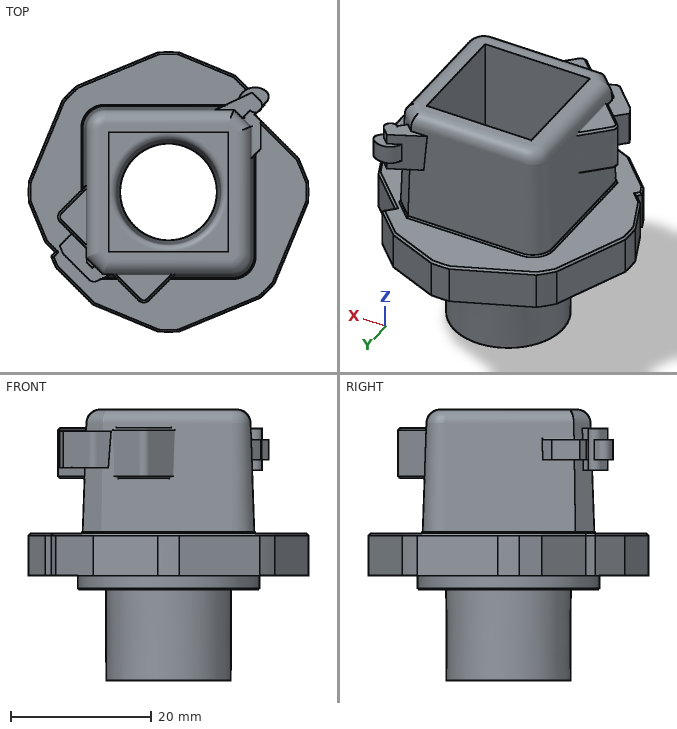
import cadquery as cq
import math

collar_bottom = 13.0
flange_bottom = 15.0
flange_top = 21.0
total_height = 38.7

spigot_top_radius = 8.95
spigot_bottom_radius = 8.9
collar_radius = 13.0
collar_chamfer = 0.2
bore_bottom_radius = 6.88
bore_top_radius = 7.5
bore_mouth_round = 0.95

flange_radius = 20.0
flange_apothem = 19.0
octagon_turn = 22.5
flange_chamfer = 0.3
plain_flat = flange_apothem
notch_flat = 17.5
notch_start = 5.35
lug_flat = 18.48
lug_step_flat = 16.5
lug_step_start = 0.9

socket_half = 12.28
socket_draft = 2.0
socket_corner_radius = 3.2
socket_corner_flat = 15.45
socket_top_round = 2.0
socket_foot = 0.2
socket_foot_height = 0.28
pocket_half = 8.55
pocket_depth = 16.4

wall_zone = 0.88
seam_margin = 0.2

lug_corner_angle = -45.0
hook_corner_angle = 135.0
barb_angle = 70.0
barb_root = 12.4

block_bottom, block_top = 28.87, 36.07
block_half_width = 8.95
block_root = 4.0
block_front = 13.95
block_corner_round = 1.0
block_chamfer = 0.3
block_root_round = 0.15

hook_bottom, hook_top = 30.4, 35.6
hook_root = 13.2
hook_front = 16.88
hook_tip = -1.5
hook_tip_round = 1.0
hook_end = 5.55
hook_end_bevel = 1.15
hook_end_bevel_angle = 22.5
relief_front = 15.35
relief_root = 14.4
relief_side = 11.65
relief_depth = 0.5

lug_bottom, lug_top = 30.0, 36.0
lug_front = 18.48
lug_tip = -1.6
lug_nose_radius = 1.0

peg_bottom, peg_top = 31.5, 34.4
peg_radius = 2.48
peg_along = -0.08
peg_out = 17.55
peg_end = 0.8
peg_end_round = 1.0

rest_root = 11.2
rest_front = 16.5
rest_length = 4.95
rest_side = 13.15
rest_root_round = 0.25


def at_corner(shape, angle):
    """Turn a shape from corner axes (X along, Y out) onto its corner."""
    return shape.rotate((0, 0, 0), (0, 0, 1), angle)


def prism(points, bottom, top):
    return cq.Workplane("XY").workplane(offset=bottom).polyline(points).close().extrude(top - bottom)


def outer_cut(start, end, flat):
    """Block, in corner axes, that trims the flange back to a flat."""
    reach = 2 * flange_radius
    return prism([(start, flat), (end, flat), (end, reach), (start, reach)], flange_bottom, flange_top)


def edge_nearest(x, y, z):
    return cq.selectors.NearestToPointSelector((x, y, z))


def barb_root_along(tip, front, root):
    """Where the sloping side of a barb meets its root line."""
    return tip - (front - root) / math.tan(math.radians(barb_angle))


def make_flange():
    height = flange_top - flange_bottom
    base = cq.Workplane("XY").workplane(offset=flange_bottom)
    octagon = base.polygon(8, 2 * flange_apothem, circumscribed=True).extrude(height)
    flange = octagon.rotate((0, 0, 0), (0, 0, 1), octagon_turn)
    flange = flange.intersect(base.circle(flange_radius).extrude(height))
    side = flange_radius
    hook_cuts = [outer_cut(-side, side, plain_flat), outer_cut(notch_start, side, notch_flat)]
    lug_cuts = [outer_cut(-side, side, lug_flat), outer_cut(lug_step_start, side, lug_step_flat)]
    for cut in hook_cuts:
        flange = flange.cut(at_corner(cut, hook_corner_angle))
    for cut in lug_cuts:
        flange = flange.cut(at_corner(cut, lug_corner_angle))
    return flange.faces(">Z").edges().chamfer(flange_chamfer)


def make_spigot():
    profile = [
        (0, 0),
        (spigot_bottom_radius, 0),
        (spigot_top_radius, flange_bottom),
        (0, flange_bottom),
    ]
    spigot = cq.Workplane("XZ").polyline(profile).close().revolve(360, (0, 0), (0, 1))
    collar = (
        cq.Workplane("XY")
        .workplane(offset=collar_bottom)
        .circle(collar_radius)
        .extrude(flange_bottom - collar_bottom)
        .faces("<Z")
        .edges()
        .chamfer(collar_chamfer)
    )
    return spigot.union(collar)


def socket_outline(grow):
    """Square with two round corners and two flat ones, enlarged by grow on every side."""
    side = socket_half + grow
    radius = socket_corner_radius + grow
    arc_start = side - radius
    arc_mid = arc_start + radius * math.sqrt(0.5)
    flat_start = (socket_corner_flat + grow) * math.sqrt(2) - side
    return (
        cq.Workplane("XY")
        .workplane(offset=flange_top)
        .moveTo(-flat_start, -side)
        .lineTo(arc_start, -side)
        .threePointArc((arc_mid, -arc_mid), (side, -arc_start))
        .lineTo(side, flat_start)
        .lineTo(flat_start, side)
        .lineTo(-arc_start, side)
        .threePointArc((-arc_mid, arc_mid), (-side, arc_start))
        .lineTo(-side, -flat_start)
        .close()
    )


def make_socket():
    socket = socket_outline(0).extrude(total_height - flange_top, taper=socket_draft)
    socket = socket.faces(">Z").edges().fillet(socket_top_round)
    foot_angle = math.degrees(math.atan2(socket_foot, socket_foot_height))
    foot = socket_outline(socket_foot).extrude(socket_foot_height, taper=foot_angle)
    return socket.union(foot)


def make_block():
    """Bar across the hook corner whose ends stand out of the two socket walls."""
    width = 2 * block_half_width
    block = (
        cq.Workplane("XY")
        .box(width, block_front - block_root, block_top - block_bottom, centered=(True, False, False))
        .translate((0, block_root, block_bottom))
        .edges("|Z and >Y")
        .fillet(block_corner_round)
    )
    return block.faces("<Z or >Z").edges("not <Y").chamfer(block_chamfer)


def make_hook():
    bevel_rise = hook_end_bevel * math.tan(math.radians(hook_end_bevel_angle))
    outline = [
        (barb_root_along(hook_tip, hook_front, hook_root), hook_root),
        (hook_tip, hook_front),
        (hook_end - hook_end_bevel, hook_front),
        (hook_end, hook_front - bevel_rise),
        (hook_end, hook_root),
    ]
    hook = prism(outline, hook_bottom, hook_top)
    tip_edge = edge_nearest(hook_tip, hook_front, (hook_bottom + hook_top) / 2)
    return hook.edges(tip_edge).fillet(hook_tip_round)


def make_relief():
    """Small recess in the hook's top face, between its corner and the socket."""
    side_sum = relief_side * math.sqrt(2)
    inner_along = side_sum - relief_root
    outline = [
        (0, relief_root),
        (0, relief_front),
        (side_sum - relief_front, relief_front),
        (inner_along, relief_root),
    ]
    return prism(outline, hook_top - relief_depth, hook_top)


def make_lug():
    """Barb with a rounded nose overhanging its straight side."""
    nose_out = lug_front - lug_nose_radius
    return (
        cq.Workplane("XY")
        .workplane(offset=lug_bottom)
        .moveTo(barb_root_along(lug_tip, lug_front, barb_root), barb_root)
        .lineTo(lug_tip, lug_front)
        .lineTo(0, lug_front)
        .threePointArc((lug_nose_radius, nose_out), (0, nose_out - lug_nose_radius))
        .lineTo(0, barb_root)
        .close()
        .extrude(lug_top - lug_bottom)
    )


def make_peg():
    """Round peg through the lug, cut flat on one side with the outer corner eased."""
    height = peg_top - peg_bottom
    reach = 2 * peg_radius
    peg = cq.Workplane("XY").circle(peg_radius).extrude(height).translate((peg_along, peg_out, peg_bottom))
    beyond_flat = cq.Workplane("XY").box(reach, 2 * reach, height, centered=(False, True, False))
    beyond_flat = beyond_flat.translate((peg_end, peg_out, peg_bottom))
    outer_corner = edge_nearest(peg_end, peg_out + peg_radius, (peg_bottom + peg_top) / 2)
    return peg.cut(beyond_flat).edges("|Z").edges(outer_corner).fillet(peg_end_round)


def make_rest():
    """Low shelf beside the lug, bounded by a plane parallel to the socket wall."""
    side_sum = rest_side * math.sqrt(2)
    outline = [
        (0, rest_root),
        (0, rest_front),
        (side_sum - rest_front, rest_front),
        (rest_length, side_sum - rest_length),
        (rest_length, rest_root),
    ]
    return prism(outline, peg_bottom, peg_top)


def make_bore():
    """Tapered bore whose upper mouth flares into the pocket floor."""
    floor = total_height - pocket_depth
    return (
        cq.Workplane("XZ")
        .lineTo(bore_bottom_radius, 0)
        .lineTo(bore_top_radius, floor - bore_mouth_round)
        .radiusArc((bore_top_radius + bore_mouth_round, floor), bore_mouth_round)
        .lineTo(0, floor)
        .close()
        .revolve(360, (0, 0), (0, 1))
    )


def make_pocket():
    width = 2 * pocket_half
    pocket = cq.Workplane("XY").box(width, width, pocket_depth, centered=(True, True, False))
    return pocket.translate((0, 0, total_height - pocket_depth))


def add_blocks(body):
    """Join the bar to the socket and round the seam on both walls it stands out of."""
    body = body.union(at_corner(make_block(), hook_corner_angle))
    outer, inner = -socket_half, wall_zone - socket_half
    seam_start = socket_half - socket_corner_flat * math.sqrt(2)
    seam_end = -outer - socket_corner_radius
    low = block_bottom - seam_margin
    high = block_top + seam_margin
    front_seam = cq.selectors.BoxSelector((seam_start, outer, low), (seam_end, inner, high))
    side_seam = cq.selectors.BoxSelector((outer, seam_start, low), (inner, seam_end, high))
    for seam in (front_seam, side_seam):
        body = body.edges(seam).fillet(block_root_round)
    return body


def add_rest(body):
    """Join the shelf to the socket and round the seam along its top."""
    body = body.union(at_corner(make_rest(), lug_corner_angle))
    inner = socket_half - wall_zone
    low = peg_top - seam_margin
    high = peg_top + seam_margin
    corner_inner = inner - wall_zone
    corner_start = corner_inner - wall_zone
    wall_seam = cq.selectors.BoxSelector((inner, 0, low), (socket_half, inner, high))
    corner_seam = cq.selectors.BoxSelector((corner_inner, corner_start, low), (inner, inner, high))
    return body.edges(wall_seam + corner_seam).fillet(rest_root_round)


socket = make_socket()
upper = add_rest(add_blocks(socket))
hook = at_corner(make_hook(), hook_corner_angle)
relief = at_corner(make_relief(), hook_corner_angle).cut(socket)
upper = upper.union(hook).cut(relief)
upper = upper.union(at_corner(make_lug(), lug_corner_angle))
upper = upper.union(at_corner(make_peg(), lug_corner_angle))

result = make_spigot().union(make_flange()).union(upper)
result = result.cut(make_pocket()).cut(make_bore())